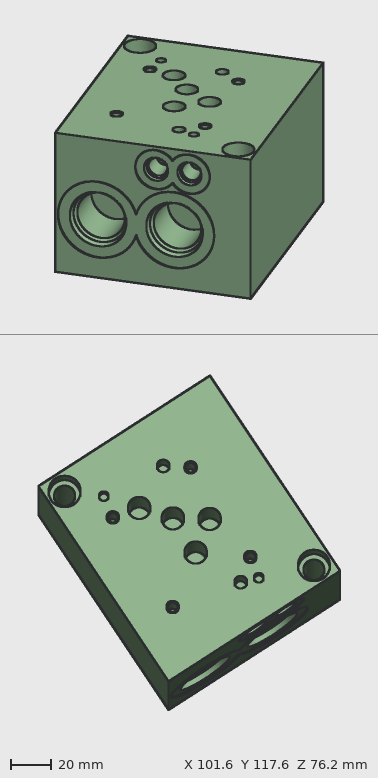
import cadquery as cq
import math

WIDTH = 101.6
LENGTH = 117.6
HEIGHT = 76.2

MOUNT_INSET = 9.4
MOUNT_DIAMETER = 10.3
MOUNT_BORE_DIAMETER = 15.9
MOUNT_BORE_DEPTH = 11.8

BOLT_X = 22.2
BOLT_Y = 30.2
BOLT_SPACING_X = 46.0
BOLT_SPACING_Y = 54.0
BOLT_DIAMETER = 4.9
BOLT_MOUTH_DIAMETER = 6.2
BOLT_DEPTH = 17.6
DRILL_POINT_ANGLE = 118.0

FLOW_DIAMETER = 11.2
FLOW_DEPTH = 28.2
FLOW_CENTERS = [(13.5, 50.8), (24.6, 37.3), (39.6, 27.0), (24.6, 16.7)]
PILOT_DIAMETER = 6.4
PILOT_DEPTH = 14.1
PILOT_X = 35.0
PILOT_OVERHANG = 8.0
PILOT_CENTERS = [(PILOT_X, -PILOT_OVERHANG), (PILOT_X, BOLT_SPACING_Y + PILOT_OVERHANG)]
PIN_DIAMETER = 4.8
PIN_DEPTH = 5.9
PIN_CENTERS = [(2.1, 65.4), (43.7, -11.0)]

SPOT_DEPTH = 0.6
CHAMFER_HALF_ANGLE = 45.0

MAIN_PORT_CENTERS = [(22.1, 31.8), (61.9, 31.8)]
MAIN_SPOT_DIAMETER = 41.4
MAIN_CONE_DIAMETER = 29.4
MAIN_CONE_DEPTH = 3.3
MAIN_CONE_HALF_ANGLE = 15.0
MAIN_BORE_DIAMETER = 24.7
MAIN_BORE_DEPTH = 28.2

PILOT_PORT_CENTERS = [(52.2, 63.5), (69.6, 63.5)]
PILOT_SPOT_DIAMETER = 21.3
PILOT_CONE_DIAMETER = 12.5
PILOT_CONE_DEPTH = 2.4
PILOT_CONE_HALF_ANGLE = 12.0
PILOT_BORE_DIAMETER = 9.8
PILOT_BORE_DEPTH = 16.5


def cone_depth(large_diameter, small_diameter, half_angle):
    """Axial length of a cone between two diameters."""
    return (large_diameter - small_diameter) / 2 / math.tan(math.radians(half_angle))


def revolved_down(profile):
    """Solid of revolution about Z from (radius, height) points that start and end on the axis."""
    return cq.Workplane("XZ").polyline(profile).close().revolve(360, (0, 0), (0, 1))


def top_hole(diameter, depth):
    """Flat-bottomed hole tool whose mouth is at the origin."""
    return cq.Workplane("XY").circle(diameter / 2).extrude(-depth)


def mounting_hole():
    """Through hole with a counterbore."""
    bore = top_hole(MOUNT_BORE_DIAMETER, MOUNT_BORE_DEPTH)
    return bore.union(top_hole(MOUNT_DIAMETER, HEIGHT))


def bolt_hole():
    """Chamfered blind hole with a drill point."""
    radius = BOLT_DIAMETER / 2
    mouth_radius = BOLT_MOUTH_DIAMETER / 2
    chamfer = mouth_radius - radius
    point = cone_depth(BOLT_DIAMETER, 0, DRILL_POINT_ANGLE / 2)
    return revolved_down([
        (0, 0),
        (mouth_radius, 0),
        (radius, -chamfer),
        (radius, -BOLT_DEPTH),
        (0, -BOLT_DEPTH - point),
    ])


def port(spot_diameter, cone_diameter, seal_depth, seal_half_angle, bore_diameter, bore_depth):
    """Port tool that sinks along -Z from the origin."""
    end_diameter = cone_diameter - 2 * seal_depth * math.tan(math.radians(seal_half_angle))
    chamfer_top = -SPOT_DEPTH - seal_depth
    chamfer_bottom = chamfer_top - cone_depth(end_diameter, bore_diameter, CHAMFER_HALF_ANGLE)
    return revolved_down([
        (0, 0),
        (spot_diameter / 2, 0),
        (spot_diameter / 2, -SPOT_DEPTH),
        (cone_diameter / 2, -SPOT_DEPTH),
        (end_diameter / 2, chamfer_top),
        (bore_diameter / 2, chamfer_bottom),
        (bore_diameter / 2, -bore_depth),
        (0, -bore_depth),
    ])


def cut_top(body, tool, centers):
    """Cut a tool into the top face at each (x, y)."""
    for x, y in centers:
        body = body.cut(tool.translate((x, y, HEIGHT)))
    return body


def cut_front(body, tool, centers):
    """Cut a tool into the front face at each (x, z)."""
    sideways = tool.rotate((0, 0, 0), (1, 0, 0), 90)
    for x, z in centers:
        body = body.cut(sideways.translate((x, 0, z)))
    return body


def from_first_bolt(offsets):
    """Block positions of points given from the first bolt hole."""
    return [(BOLT_X + dx, BOLT_Y + dy) for dx, dy in offsets]


mount_centers = [
    (MOUNT_INSET, LENGTH - MOUNT_INSET),
    (WIDTH - MOUNT_INSET, MOUNT_INSET),
]
bolt_offsets = [(dx, dy) for dx in (0, BOLT_SPACING_X) for dy in (0, BOLT_SPACING_Y)]

main_port = port(
    MAIN_SPOT_DIAMETER, MAIN_CONE_DIAMETER, MAIN_CONE_DEPTH, MAIN_CONE_HALF_ANGLE,
    MAIN_BORE_DIAMETER, MAIN_BORE_DEPTH,
)
pilot_port = port(
    PILOT_SPOT_DIAMETER, PILOT_CONE_DIAMETER, PILOT_CONE_DEPTH, PILOT_CONE_HALF_ANGLE,
    PILOT_BORE_DIAMETER, PILOT_BORE_DEPTH,
)

block = cq.Workplane("XY").box(WIDTH, LENGTH, HEIGHT, centered=False)

block = cut_top(block, mounting_hole(), mount_centers)
block = cut_top(block, bolt_hole(), from_first_bolt(bolt_offsets))
block = cut_top(block, top_hole(FLOW_DIAMETER, FLOW_DEPTH), from_first_bolt(FLOW_CENTERS))
block = cut_top(block, top_hole(PILOT_DIAMETER, PILOT_DEPTH), from_first_bolt(PILOT_CENTERS))
block = cut_top(block, top_hole(PIN_DIAMETER, PIN_DEPTH), from_first_bolt(PIN_CENTERS))

block = cut_front(block, main_port, MAIN_PORT_CENTERS)
block = cut_front(block, pilot_port, PILOT_PORT_CENTERS)

result = block